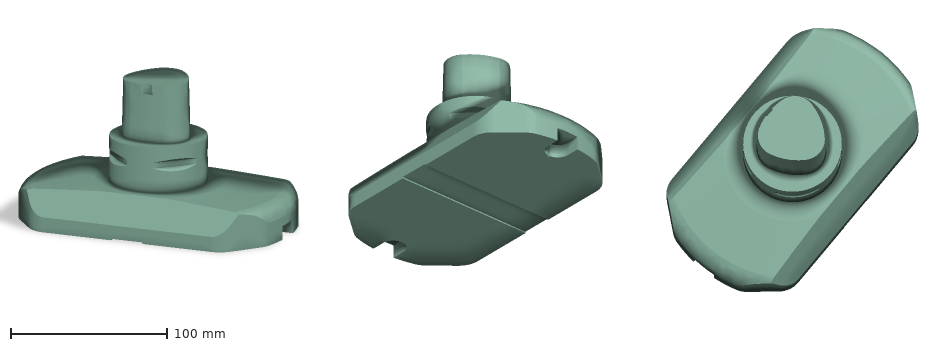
import cadquery as cq
import math

base_height = 28.0
collar_height = 30.0
shank_height = 38.0
collar_top = base_height + collar_height
part_top = collar_top + shank_height

base_length = 180.0
base_width = 104.0
flat_top_diameter = 88.0
top_cone_angle = 4.6
rim_radius = 10.0
corner_cut_angle = 50.0
corner_cut_start_x = 65.3
corner_blend_radius = 16.0
side_bevel_angle = 55.0
side_wall_height = 10.0

bolt_slot_width = 17.0
bolt_slot_height = 9.2
bolt_slot_centre_x = 80.0
relief_width = 1.0
relief_height = 8.6
relief_depth = 1.0
cross_channel_width = 22.0
cross_channel_depth = 1.0

collar_diameter = 63.0
groove_centre_height = 45.95
groove_floor_width = 3.8
groove_floor_offset = 27.8
groove_flank_angle = 30.0
groove_count = 4
groove_first_angle = 45.0

shank_flat_distance = 20.3
shank_lobe_distance = 23.65
shank_flat_radius = 40.95
shank_taper = 1 / 40
lobe_count = 3

key_floor_radius = 5.0
key_taper_angle = 3.0
key_depth = 6.8
key_centre_y = -22.3


def polar(radius, angle):
    """Point at a distance from the origin in a direction given in degrees."""
    turn = math.radians(angle)
    return (radius * math.cos(turn), radius * math.sin(turn))


def turned_base():
    """Disc with a flat centre, a shallow conical top and a rounded rim."""
    outer_radius = base_length / 2
    flat_radius = flat_top_diameter / 2
    edge_drop = (outer_radius - flat_radius) * math.tan(math.radians(top_cone_angle))
    disc = (
        cq.Workplane("XZ")
        .moveTo(0, 0)
        .lineTo(outer_radius, 0)
        .lineTo(outer_radius, base_height - edge_drop)
        .lineTo(flat_radius, base_height)
        .lineTo(0, base_height)
        .close()
        .revolve(360, (0, 0, 0), (0, 1, 0))
    )
    return disc.faces("%CONE").edges("<Z").fillet(rim_radius)


def base_outline():
    """Prism with cut corners, straight long sides and arched ends, all blended together."""
    outer_radius = base_length / 2
    half_width = base_width / 2
    slant = math.radians(corner_cut_angle)
    cut_normal = 90 - corner_cut_angle
    cut_distance = corner_cut_start_x * math.sin(slant) + half_width * math.cos(slant)
    arc_angle = cut_normal - math.degrees(math.acos(cut_distance / outer_radius))
    end_x, end_y = polar(outer_radius, arc_angle)
    return (
        cq.Workplane("XY")
        .moveTo(-corner_cut_start_x, -half_width)
        .lineTo(corner_cut_start_x, -half_width)
        .lineTo(end_x, -end_y)
        .threePointArc((outer_radius, 0), (end_x, end_y))
        .lineTo(corner_cut_start_x, half_width)
        .lineTo(-corner_cut_start_x, half_width)
        .lineTo(-end_x, end_y)
        .threePointArc((-outer_radius, 0), (-end_x, -end_y))
        .close()
        .extrude(base_height)
        .edges("|Z")
        .fillet(corner_blend_radius)
    )


def bevelled_section():
    """Cross-section along X that bevels the two long sides of the base."""
    half_width = base_width / 2
    bevel_run = (base_height - side_wall_height) / math.tan(math.radians(side_bevel_angle))
    top_half_width = half_width - bevel_run
    return (
        cq.Workplane("YZ")
        .polyline([
            (-half_width, 0),
            (half_width, 0),
            (half_width, side_wall_height),
            (top_half_width, base_height),
            (-top_half_width, base_height),
            (-half_width, side_wall_height),
        ])
        .close()
        .extrude(base_length / 2, both=True)
    )


def bolt_slot():
    """Round-ended slot open at the +X end, with a narrow relief groove in its inner end."""
    length = base_length / 2 - bolt_slot_centre_x
    mouth = (
        cq.Workplane("XY")
        .box(length, bolt_slot_width, bolt_slot_height, centered=(False, True, False))
        .translate((bolt_slot_centre_x, 0, 0))
    )
    round_end = (
        cq.Workplane("XY")
        .center(bolt_slot_centre_x, 0)
        .circle(bolt_slot_width / 2)
        .extrude(bolt_slot_height)
    )
    relief_reach = bolt_slot_width / 2 + relief_depth
    relief = (
        cq.Workplane("XY")
        .box(relief_reach, relief_width, relief_height, centered=(False, True, False))
        .translate((bolt_slot_centre_x - relief_reach, 0, 0))
    )
    return mouth.union(round_end).union(relief)


def cross_channel():
    """Shallow channel across the underside, running through along Y."""
    return cq.Workplane("XY").box(
        cross_channel_width, base_width, cross_channel_depth, centered=(True, True, False)
    )


def base():
    body = turned_base().intersect(base_outline()).intersect(bevelled_section())
    slot = bolt_slot()
    for angle in (0, 180):
        body = body.cut(slot.rotate((0, 0, 0), (0, 0, 1), angle))
    return body.cut(cross_channel())


def gripper_groove():
    """Straight trapezoidal groove on the +X side of the collar, running along Y."""
    outer_x = collar_diameter / 2
    flare = (outer_x - groove_floor_offset) * math.tan(math.radians(groove_flank_angle))
    floor_half = groove_floor_width / 2
    mouth_half = floor_half + flare
    return (
        cq.Workplane("XZ")
        .polyline([
            (groove_floor_offset, groove_centre_height - floor_half),
            (outer_x, groove_centre_height - mouth_half),
            (outer_x, groove_centre_height + mouth_half),
            (groove_floor_offset, groove_centre_height + floor_half),
        ])
        .close()
        .extrude(collar_diameter / 2, both=True)
    )


def collar():
    body = (
        cq.Workplane("XY")
        .workplane(offset=base_height)
        .circle(collar_diameter / 2)
        .extrude(collar_height)
    )
    groove = gripper_groove()
    for index in range(groove_count):
        angle = groove_first_angle + index * 360 / groove_count
        body = body.cut(groove.rotate((0, 0, 0), (0, 0, 1), angle))
    return body


def shank():
    """Tapered three-lobed polygon of alternating broad and tight tangent arcs."""
    flat_centre = shank_flat_radius - shank_flat_distance
    margin = shank_flat_radius - shank_lobe_distance
    lobe_centre = (flat_centre**2 - margin**2) / (2 * margin - flat_centre)
    half_pitch = math.radians(180 / lobe_count)
    sideways = lobe_centre * math.sin(half_pitch)
    outward = flat_centre + lobe_centre * math.cos(half_pitch)
    swing = math.atan2(sideways, outward)
    tangent_side = shank_flat_radius * math.sin(swing)
    tangent_out = shank_flat_radius * math.cos(swing) - flat_centre
    tangent_angle = math.degrees(math.atan2(tangent_side, tangent_out))
    tangent_distance = math.hypot(tangent_side, tangent_out)

    pitch = 360 / lobe_count
    first_flat = -90
    outline = (
        cq.Workplane("XY")
        .workplane(offset=collar_top)
        .moveTo(*polar(tangent_distance, first_flat - tangent_angle))
    )
    for index in range(lobe_count):
        flat = first_flat + index * pitch
        outline = outline.threePointArc(
            polar(shank_flat_distance, flat),
            polar(tangent_distance, flat + tangent_angle),
        ).threePointArc(
            polar(shank_lobe_distance, flat + pitch / 2),
            polar(tangent_distance, flat + pitch - tangent_angle),
        )
    taper_angle = math.degrees(math.atan(shank_taper))
    return outline.close().extrude(shank_height, taper=taper_angle)


def key_notch():
    """Conical notch in the -Y side of the shank, narrowing upward and open at the top."""
    return (
        cq.Workplane("XY")
        .workplane(offset=part_top - key_depth)
        .center(0, key_centre_y)
        .circle(key_floor_radius)
        .extrude(key_depth, taper=key_taper_angle)
    )


result = base().union(collar()).union(shank().cut(key_notch()))